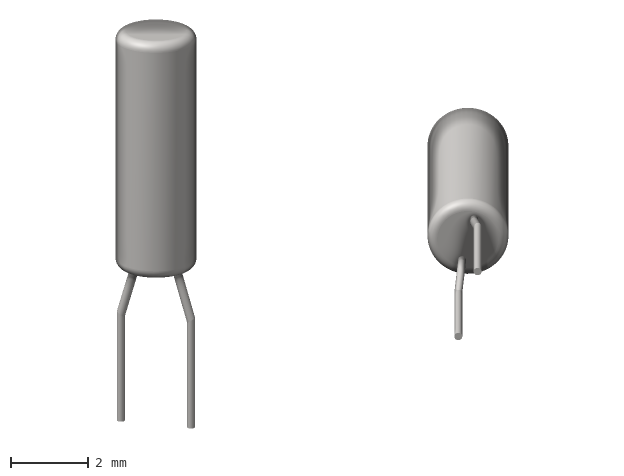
import math

import cadquery as cq

total_height = 10.81
body_diameter = 2.1
body_height = 6.5
body_edge_radius = 0.25

lead_diameter = 0.2
lead_length = total_height - body_height
lead_outer_x = (body_diameter - lead_diameter) / 2
lead_root_x = 0.59
upper_bend_drop = 0.16
lower_bend_drop = 1.37
joint_tilt = 35.0
lead_embed = 0.11


def make_body():
    """Can standing on Z = 0 with both rims rounded."""
    can = cq.Workplane("XY").circle(body_diameter / 2).extrude(body_height)
    return can.faces("|Z").edges().fillet(body_edge_radius)


def lead_section(side, x, z, tilt=0.0):
    """Slice of a vertical round wire by a plane that falls toward the can axis."""
    radius = lead_diameter / 2
    angle = math.radians(tilt)
    center = cq.Vector(side * x, 0, z)
    normal = cq.Vector(-side * math.sin(angle), 0, math.cos(angle))
    if tilt == 0:
        return cq.Wire.makeCircle(radius, center, normal)
    downhill = cq.Vector(-side * math.cos(angle), 0, -math.sin(angle))
    return cq.Wire.makeEllipse(radius / math.cos(angle), radius, center, normal, downhill)


def lead_segment(start, end):
    """Straight stretch of wire between two sections."""
    return cq.Workplane(cq.Solid.makeLoft([start, end], True))


def make_lead(side):
    """Wire on the given X side (-1 or 1), cranked outward between two oblique joints."""
    root = lead_section(side, lead_root_x, lead_embed)
    upper_bend = lead_section(side, lead_root_x, -upper_bend_drop, joint_tilt)
    lower_bend = lead_section(side, lead_outer_x, -lower_bend_drop, joint_tilt)
    tip = lead_section(side, lead_outer_x, -lead_length)
    lead = lead_segment(root, upper_bend)
    lead = lead.union(lead_segment(upper_bend, lower_bend))
    return lead.union(lead_segment(lower_bend, tip))


result = make_body()
for side in (-1, 1):
    result = result.union(make_lead(side))